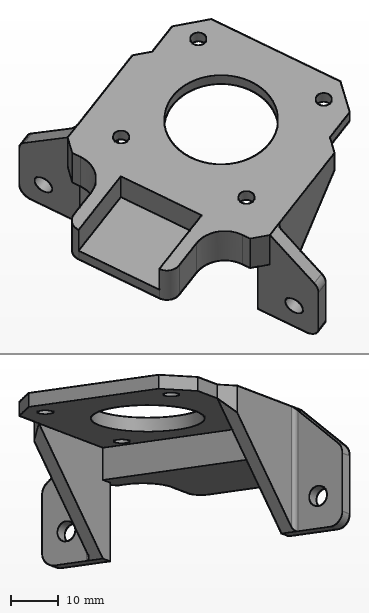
import cadquery as cq


wall = 3.0
half_width = 25.0
inner_half_width = half_width - wall
back_y = 22.0
back_chamfer = 6.0
gusset_back_y = 8.0
bore_diameter = 24.0
screw_diameter = 3.4
screw_spacing = 31.0
screw_centre_y = 0.5

shoulder_y = -24.05
front_y = back_y - 63.0
block_thickness = 10.0
neck_half_width = 13.0
neck_inner_radius = 7.0
corner_radius = 3.0
pocket_width = 20.0
pocket_depth = 7.0

height = 27.0
ear_half_span = 37.0
ear_front_y = shoulder_y + wall
ear_back_y = ear_front_y + wall
ear_shoulder_z = -10.0
ear_hole_diameter = 4.4
ear_hole_x = 31.0
ear_hole_z = -20.0
root_fillet = 1.0


def make_plate():
    """Plate outline, symmetric in X, extruded down from the top face."""
    right_side = [
        (0, back_y),
        (inner_half_width - back_chamfer, back_y),
        (inner_half_width, back_y - back_chamfer),
        (inner_half_width, gusset_back_y),
        (half_width, gusset_back_y - wall),
        (half_width, ear_front_y),
        (0, ear_front_y),
    ]
    return cq.Workplane("XY").polyline(right_side).close().extrude(-wall).mirror("YZ", union=True)


def make_block():
    """Thick front block, narrowing to a neck through concave corners."""
    half = (
        cq.Workplane("XY")
        .moveTo(0, ear_back_y)
        .lineTo(half_width, ear_back_y)
        .lineTo(half_width, ear_front_y)
        .lineTo(inner_half_width, shoulder_y)
        .lineTo(neck_half_width + neck_inner_radius, shoulder_y)
        .radiusArc((neck_half_width, shoulder_y - neck_inner_radius), -neck_inner_radius)
        .lineTo(neck_half_width, front_y + corner_radius)
        .radiusArc((neck_half_width - corner_radius, front_y), corner_radius)
        .lineTo(0, front_y)
        .close()
        .extrude(-block_thickness)
    )
    return half.mirror("YZ", union=True)


def make_gusset():
    """Triangular side wall tying the right ear to the plate."""
    triangle = [
        (gusset_back_y, 0),
        (gusset_back_y, -wall),
        (ear_back_y, -height),
        (ear_front_y, -height),
        (ear_front_y, 0),
    ]
    gusset = (
        cq.Workplane("YZ", origin=(inner_half_width, 0, 0))
        .polyline(triangle)
        .close()
        .extrude(wall)
    )
    corner = (
        cq.Workplane("XY")
        .polyline([
            (inner_half_width, gusset_back_y),
            (half_width, gusset_back_y),
            (half_width, gusset_back_y - wall),
        ])
        .close()
        .extrude(-height)
    )
    return gusset.cut(corner)


def make_ear():
    """Upright right ear with a sloped shoulder and rounded outer corners."""
    outline = [
        (inner_half_width, 0),
        (half_width, 0),
        (ear_half_span, ear_shoulder_z),
        (ear_half_span, -height),
        (inner_half_width, -height),
    ]
    return (
        cq.Workplane("XZ", origin=(0, ear_front_y, 0))
        .polyline(outline)
        .close()
        .extrude(-wall)
        .edges("|Y and >X")
        .fillet(corner_radius)
        .faces("<Y")
        .workplane(origin=(0, ear_front_y, 0))
        .center(ear_hole_x, ear_hole_z)
        .hole(ear_hole_diameter)
    )


def make_root_fillet():
    """Concave fillet column between the right gusset and ear, cut to both slopes."""
    column = (
        cq.Workplane("XY")
        .moveTo(half_width, ear_back_y)
        .lineTo(half_width + root_fillet, ear_back_y)
        .radiusArc((half_width, ear_back_y + root_fillet), root_fillet)
        .close()
        .extrude(-height)
    )
    below_ear_slope = (
        cq.Workplane("XZ")
        .polyline([
            (half_width, 0),
            (ear_half_span, ear_shoulder_z),
            (ear_half_span, -height),
            (half_width, -height),
        ])
        .close()
        .extrude(height)
    )
    above_gusset_slope = (
        cq.Workplane("YZ")
        .polyline([
            (gusset_back_y, 0),
            (gusset_back_y, -wall),
            (ear_back_y, -height),
            (ear_back_y, 0),
        ])
        .close()
        .extrude(ear_half_span)
    )
    return column.intersect(below_ear_slope).intersect(above_gusset_slope)


right_bracket = make_gusset().union(make_ear()).union(make_root_fillet())
left_bracket = right_bracket.mirror("YZ")

bore = cq.Workplane("XY").circle(bore_diameter / 2).extrude(-wall)
screw_holes = (
    cq.Workplane("XY")
    .center(0, screw_centre_y)
    .rect(screw_spacing, screw_spacing, forConstruction=True)
    .vertices()
    .circle(screw_diameter / 2)
    .extrude(-wall)
)
pocket = cq.Workplane("XY").box(
    pocket_width, shoulder_y - front_y, pocket_depth, centered=(True, False, False)
).translate((0, front_y, -pocket_depth))

result = (
    make_plate()
    .union(make_block())
    .union(right_bracket)
    .union(left_bracket)
    .cut(bore)
    .cut(screw_holes)
    .cut(pocket)
)